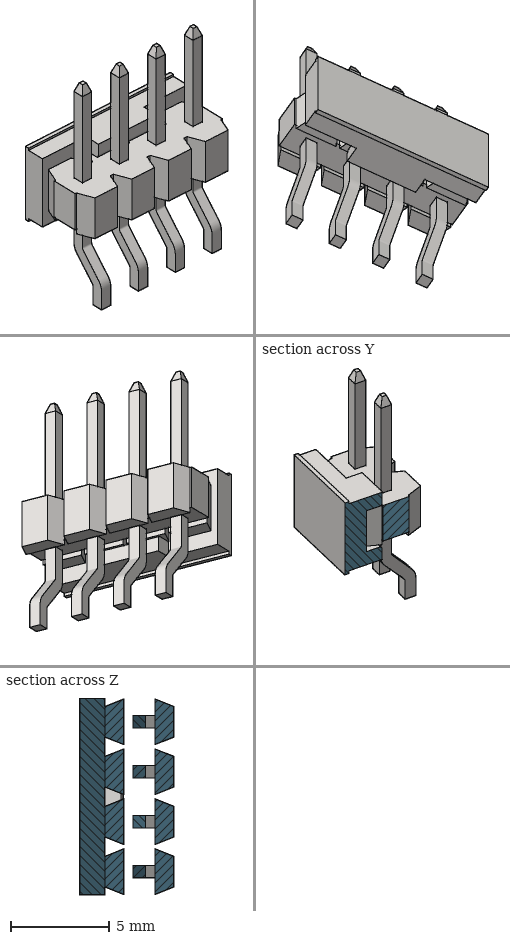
import cadquery as cq
import math


pin_count = 4
pitch = 2.54
part_depth = 4.8
part_height = 12.91
strip_mid_z = 5.829

strip_length = 10.16
strip_height = 2.5
strip_front_x = 1.29
notch_depth = 0.97
notch_floor_width = 0.21
notch_mouth_width = 0.98
channel_depth = 0.27

strip_width = part_depth - strip_front_x
strip_mid_x = strip_front_x + strip_width / 2
strip_bottom_z = strip_mid_z - strip_height / 2
strip_top_z = strip_mid_z + strip_height / 2
channel_start_x = strip_front_x + notch_depth
channel_width = strip_width - 2 * notch_depth

cover_length = 10.0
cover_height = 4.2
flange_thickness = 0.25
flange_top_z = 8.05
flange_bottom_z = 3.56
jaw_end_x = 2.23
jaw_length = 4.02
jaw_round_radius = 0.3
upper_round_height = 0.21
lower_round_height = 0.25

cover_bottom_z = strip_mid_z - cover_height / 2
cover_top_z = strip_mid_z + cover_height / 2

pin_width = 0.65
pin_front_x = 2.71
tip_height = 0.54
tip_width = 0.26
bend_inner_radius = 0.17
upper_bend_z = 3.11
lower_bend_z = 1.14

bend_outer_radius = bend_inner_radius + pin_width
pin_back_x = pin_front_x + pin_width
foot_front_x = part_depth - pin_width
shoulder_z = part_height - tip_height
pin_mid_x = pin_front_x + pin_width / 2
pin_positions = [(i - (pin_count - 1) / 2) * pitch for i in range(pin_count)]


def block(x_start, size_x, size_y, z_bottom, z_top):
    """Box centred on Y = 0."""
    return (
        cq.Workplane("XY", origin=(x_start + size_x / 2, 0, z_bottom))
        .rect(size_x, size_y)
        .extrude(z_top - z_bottom)
    )


def notch_pair(y):
    """Two facing tapered notches at one boundary between pin cells."""
    half_floor = notch_floor_width / 2
    half_mouth = notch_mouth_width / 2
    front = (
        cq.Workplane("XY", origin=(0, y, strip_bottom_z))
        .polyline([
            (strip_front_x, -half_mouth),
            (strip_front_x + notch_depth, -half_floor),
            (strip_front_x + notch_depth, half_floor),
            (strip_front_x, half_mouth),
        ])
        .close()
        .extrude(strip_height)
    )
    back = front.mirror("YZ", (strip_mid_x, 0, 0))
    return front.union(back)


def make_pin(y):
    """Square pin with a tapered tip and a double bend; the inner and outer arcs of a bend share a centre."""
    upper_centre_x = pin_back_x + bend_inner_radius
    lower_centre_x = foot_front_x - bend_inner_radius
    centre_shift = lower_centre_x - upper_centre_x
    centre_drop = upper_bend_z - lower_bend_z
    slope = math.atan2(centre_shift, centre_drop) + math.asin(
        (bend_inner_radius + bend_outer_radius) / math.hypot(centre_shift, centre_drop)
    )

    def upper_arc(radius, angle):
        return (upper_centre_x - radius * math.cos(angle), upper_bend_z - radius * math.sin(angle))

    def lower_arc(radius, angle):
        return (lower_centre_x + radius * math.cos(angle), lower_bend_z + radius * math.sin(angle))

    shank = (
        cq.Workplane("XZ", origin=(0, y + pin_width / 2, 0))
        .moveTo(pin_front_x, shoulder_z)
        .lineTo(pin_front_x, upper_bend_z)
        .threePointArc(upper_arc(bend_outer_radius, slope / 2), upper_arc(bend_outer_radius, slope))
        .lineTo(*lower_arc(bend_inner_radius, slope))
        .threePointArc(lower_arc(bend_inner_radius, slope / 2), lower_arc(bend_inner_radius, 0))
        .lineTo(foot_front_x, 0)
        .lineTo(part_depth, 0)
        .lineTo(part_depth, lower_bend_z)
        .threePointArc(lower_arc(bend_outer_radius, slope / 2), lower_arc(bend_outer_radius, slope))
        .lineTo(*upper_arc(bend_inner_radius, slope))
        .threePointArc(upper_arc(bend_inner_radius, slope / 2), upper_arc(bend_inner_radius, 0))
        .lineTo(pin_back_x, shoulder_z)
        .close()
        .extrude(pin_width)
    )
    tip = (
        cq.Workplane("XY", origin=(pin_mid_x, y, shoulder_z))
        .rect(pin_width, pin_width)
        .workplane(offset=tip_height)
        .rect(tip_width, tip_width)
        .loft(ruled=True)
    )
    return shank.union(tip).solids().val()


def make_strip():
    """Strip with tapered notches between pins, a channel underneath and square pin holes."""
    strip = block(strip_front_x, strip_width, strip_length, strip_bottom_z, strip_top_z)
    for i in range(pin_count + 1):
        strip = strip.cut(notch_pair((i - pin_count / 2) * pitch))
    strip = strip.cut(
        block(channel_start_x, channel_width, strip_length, strip_bottom_z, strip_bottom_z + channel_depth)
    )
    for y in pin_positions:
        hole = (
            cq.Workplane("XY", origin=(pin_mid_x, y, strip_bottom_z))
            .rect(pin_width, pin_width)
            .extrude(strip_height)
        )
        strip = strip.cut(hole)
    return strip.solids().val()


def make_jaw(strip_face_z, outer_z, round_height):
    """Jaw from one face of the strip out to outer_z, rounded at its tip next to the strip."""
    direction = math.copysign(1, outer_z - strip_face_z)

    def round_point(height):
        setback = jaw_round_radius - math.sqrt(jaw_round_radius**2 - (round_height - height) ** 2)
        return (jaw_end_x - setback, strip_face_z + direction * height)

    return (
        cq.Workplane("XZ", origin=(0, jaw_length / 2, 0))
        .moveTo(strip_front_x, strip_face_z)
        .lineTo(*round_point(0))
        .threePointArc(round_point(round_height / 2), round_point(round_height))
        .lineTo(jaw_end_x, outer_z)
        .lineTo(strip_front_x, outer_z)
        .close()
        .extrude(jaw_length)
    )


def make_cover():
    """Flat cover with a thin flange on its outer face and two jaws gripping the strip."""
    flange = block(0, flange_thickness, cover_length, flange_bottom_z, flange_top_z)
    body = block(0, strip_front_x, cover_length, cover_bottom_z, cover_top_z)
    upper_jaw = make_jaw(strip_top_z, cover_top_z, upper_round_height)
    lower_jaw = make_jaw(strip_bottom_z, cover_bottom_z, lower_round_height)
    return body.union(flange).union(upper_jaw).union(lower_jaw).solids().val()


strip = make_strip()
cover = make_cover()
pins = [make_pin(y) for y in pin_positions]

result = cq.Compound.makeCompound([strip, cover, *pins])